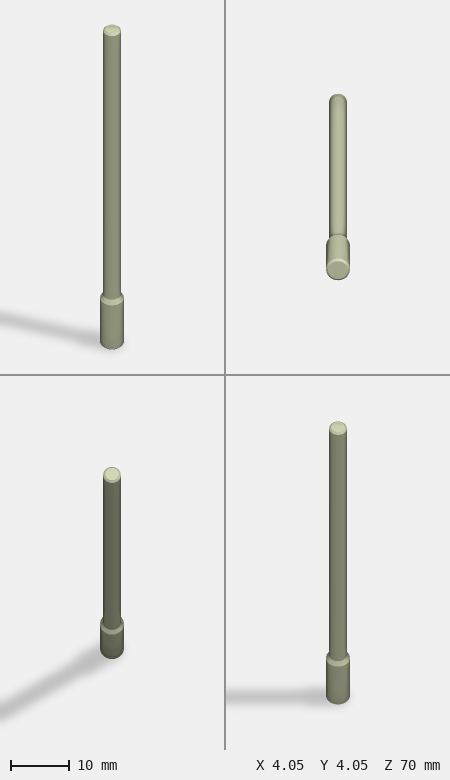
import cadquery as cq

rod_length = 70.0
rod_diameter = 3.0
rod_tip_chamfer = 0.35

sleeve_length = 11.0
sleeve_diameter = 4.05
sleeve_bottom_chamfer = 0.35
sleeve_taper_height = 0.85

rod_radius = rod_diameter / 2
sleeve_radius = sleeve_diameter / 2


def make_rod():
    """Plain round rod with a chamfered top end."""
    rod = cq.Workplane("XY").circle(rod_radius).extrude(rod_length)
    return rod.faces(">Z").chamfer(rod_tip_chamfer)


def make_sleeve():
    """Tube that fits the rod, tapering at the top down to the rod surface."""
    profile = (
        cq.Workplane("XZ")
        .moveTo(rod_radius, 0)
        .lineTo(sleeve_radius - sleeve_bottom_chamfer, 0)
        .lineTo(sleeve_radius, sleeve_bottom_chamfer)
        .lineTo(sleeve_radius, sleeve_length - sleeve_taper_height)
        .lineTo(rod_radius, sleeve_length)
        .close()
    )
    return profile.revolve(360, (0, 0, 0), (0, 1, 0))


rod = make_rod()
sleeve = make_sleeve()

result = cq.Compound.makeCompound([rod.val(), sleeve.val()])